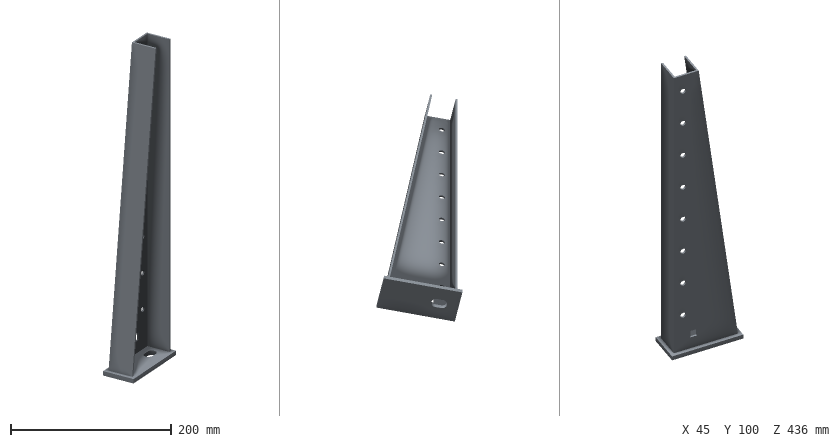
import cadquery as cq

total_height = 436.0
plate_width = 45.0
plate_depth = 100.0
plate_thickness = 6.0

channel_width = 35.0
channel_base_depth = 90.0
channel_top_depth = 35.0
wall = 2.5

slot_width = 12.0
slot_length = 20.0
slot_from_plate_back = 25.0

hole_count = 8
hole_diameter = 7.5
hole_column_length = 350.0
hole_from_channel_back = 13.0
top_hole_below_top = 25.0

window_width = 9.5
window_height = 10.0
window_from_channel_back = 28.0
window_above_plate = 22.0

web_outer_x = -channel_width / 2
channel_back_y = channel_base_depth / 2
slot_y = plate_depth / 2 - slot_from_plate_back
hole_y = channel_back_y - hole_from_channel_back
hole_pitch = hole_column_length / (hole_count - 1)
top_hole_z = total_height - top_hole_below_top
window_y = channel_back_y - window_from_channel_back
window_z = plate_thickness + window_above_plate


def make_plate():
    """Flat base plate with a slot cut through its thickness."""
    plate = cq.Workplane("XY").box(plate_width, plate_depth, plate_thickness, centered=(True, True, False))
    slot = (
        cq.Workplane("XY")
        .center(0, slot_y)
        .slot2D(slot_length, slot_width, 90)
        .extrude(plate_thickness)
    )
    return plate.cut(slot)


def web_plane():
    """Workplane on the outer face of the web, extruding inward through it."""
    return cq.Workplane("YZ", origin=(web_outer_x, 0, 0))


def make_channel():
    """U-shaped post: upright back flange, web on the -X side and sloping front flange."""
    side_outline = (
        web_plane()
        .moveTo(channel_back_y, plate_thickness)
        .lineTo(channel_back_y, total_height)
        .lineTo(channel_back_y - channel_top_depth, total_height)
        .lineTo(channel_back_y - channel_base_depth, plate_thickness)
        .close()
    )
    solid_post = side_outline.extrude(channel_width)
    return solid_post.faces("<Z or >Z or >X").shell(-wall, kind="intersection")


def make_web_hole_cutters():
    """Evenly spaced round pins, numbered from the top down."""
    centres = [(hole_y, top_hole_z - i * hole_pitch) for i in range(hole_count)]
    return web_plane().pushPoints(centres).circle(hole_diameter / 2).extrude(wall)


def make_window_cutter():
    """Rectangular block that cuts the window."""
    return web_plane().center(window_y, window_z).rect(window_width, window_height).extrude(wall)


channel = make_channel().cut(make_web_hole_cutters()).cut(make_window_cutter())
result = make_plate().union(channel)